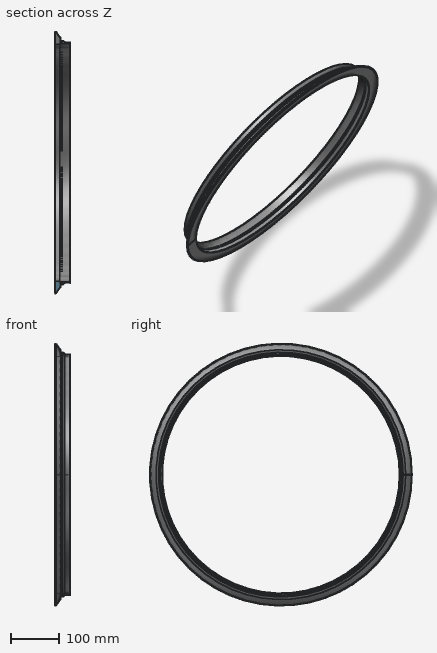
import cadquery as cq

outer_radius = 271.5
width = 32.0

edge_chamfer = 2.0
rim_end = 3.0
flange_end = 12.0
flange_back_radius = 259.5
flange_edge_break = 1.0

groove_radius = 249.0
ridge_start = 15.0
ridge_crest_end = 17.0
ridge_radius = 253.0
ridge_end = 21.0
collar_radius = 250.0

bore_radius = 246.5
lip_bore_radius = 245.5
lip_depth = 10.5
mouth_chamfer = 1.0

split_gap = 1.0


def ring_section():
    """Closed (x, radius) section of the ring, walked from the flange face."""
    points = [
        (0, lip_bore_radius + mouth_chamfer),
        (0, outer_radius - edge_chamfer),
        (edge_chamfer / 2, outer_radius),
        (rim_end, outer_radius - edge_chamfer / 2),
        (flange_end - flange_edge_break, flange_back_radius),
        (flange_end, flange_back_radius - flange_edge_break),
        (flange_end, groove_radius),
        (ridge_start, groove_radius),
        (ridge_start, ridge_radius),
        (ridge_crest_end, ridge_radius),
        (ridge_end, collar_radius),
        (width, collar_radius),
        (width, bore_radius),
        (lip_depth, bore_radius),
        (lip_depth, lip_bore_radius),
        (mouth_chamfer, lip_bore_radius),
    ]
    return cq.Workplane("XY").polyline(points).close()


def split_cutter():
    """Thin radial slab that cuts through the ring wall at +Y."""
    return cq.Workplane("XY").box(
        width, outer_radius, split_gap, centered=(False, False, True)
    )


ring = ring_section().revolve(360, (0, 0, 0), (1, 0, 0))
result = ring.cut(split_cutter())